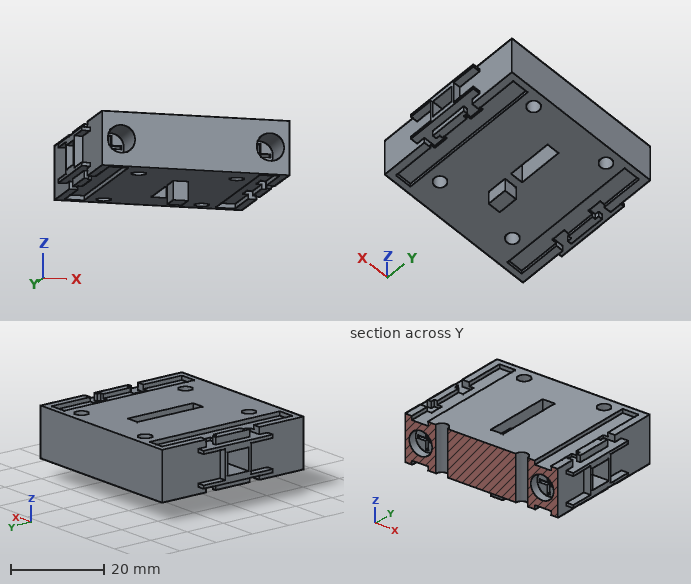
import cadquery as cq

overall_width = 45.5
body_width = 41.75
body_depth = 39.0
body_height = 11.9
overall_height = 16.1

hole_diameter = 3.2
hole_spacing_x = 21.85
hole_spacing_y = 28.65
hole_centre_x = 0.1
hole_centre_y = 1.77

strip_inner_x = 14.65
strip_width = 4.3
strip_length = 35.9
strip_depth = 1.0

notch_depth = 1.7
notch_reach = 3.15
notch_lip = 1.05
notch_outer_y = 7.33
notch_step_y = 4.75
notch_inner_y = 3.7

rail_length = 19.1
flange_thickness = 0.77
web_length = 7.05
socket_length = 5.75
socket_height = 5.32
socket_depth = 9.1

bore_x = 16.6
bore_diameter = 6.1
bore_depth = 9.1
cross_length = 5.05
cross_width = 0.75
cross_depth = 0.9

slot_width = 3.3
slot_length = 18.0
slot_start_y = -7.15
head_length = 6.85
head_top_drop = 2.45
lug_length = 5.0

top_z = body_height / 2
bottom_z = -top_z
side_x = body_width / 2
front_y = -body_depth / 2


def block(x0, x1, y0, y1, z0, z1):
    """Axis-aligned block between opposite corners."""
    return cq.Workplane("XY").box(x1 - x0, y1 - y0, z1 - z0, centered=False).translate((x0, y0, z0))


def on_both_sides(shape):
    """The shape together with its mirror image across the YZ plane."""
    return shape.union(shape.mirror("YZ"))


def mounting_holes():
    return (
        cq.Workplane("XY", origin=(hole_centre_x, hole_centre_y, bottom_z))
        .rarray(hole_spacing_x, hole_spacing_y, 2, 2)
        .circle(hole_diameter / 2)
        .extrude(body_height)
    )


def notch():
    """L-shaped notch in the top of the +X wall, on the +Y side."""
    lip_x = side_x - notch_lip
    inner_x = side_x - notch_reach
    floor_z = top_z - notch_depth
    through_wall = block(inner_x, side_x, notch_step_y, notch_outer_y, floor_z, top_z)
    behind_lip = block(inner_x, lip_x, notch_inner_y, notch_step_y, floor_z, top_z)
    return through_wall.union(behind_lip)


def face_recesses():
    """Strip recess and notches of the +X side, in the top and bottom faces."""
    strip = block(
        strip_inner_x, strip_inner_x + strip_width,
        -strip_length / 2, strip_length / 2,
        top_z - strip_depth, top_z,
    )
    recess = strip.union(notch()).union(notch().mirror("XZ"))
    return recess.union(recess.mirror("XY"))


def rail():
    """I-shaped rail standing out from the +X wall."""
    end_x = overall_width / 2
    flange_outer_z = top_z - notch_depth
    flange_inner_z = flange_outer_z - flange_thickness
    flange = block(side_x, end_x, -rail_length / 2, rail_length / 2, flange_inner_z, flange_outer_z)
    web = block(side_x, end_x, -web_length / 2, web_length / 2, -flange_outer_z, flange_outer_z)
    return web.union(flange).union(flange.mirror("XY"))


def socket():
    """Square blind socket running inward from the end of the +X rail."""
    end_x = overall_width / 2
    return block(
        end_x - socket_depth, end_x,
        -socket_length / 2, socket_length / 2,
        -socket_height / 2, socket_height / 2,
    )


def screw_bore():
    """Blind bore on the +X side, with a cross recess in its floor."""
    bore_plane = cq.Workplane("XZ", origin=(bore_x, front_y, 0))
    bore = bore_plane.circle(bore_diameter / 2).extrude(-bore_depth)
    total_depth = bore_depth + cross_depth
    bar_across = bore_plane.rect(cross_length, cross_width).extrude(-total_depth)
    bar_upright = bore_plane.rect(cross_width, cross_length).extrude(-total_depth)
    return bore.union(bar_across).union(bar_upright)


def central_slot():
    return block(
        -slot_width / 2, slot_width / 2,
        slot_start_y, slot_start_y + slot_length,
        bottom_z, top_z,
    )


def slider():
    """Head filling one end of the slot, with a shorter lug hanging below."""
    half_width = slot_width / 2
    head_top_z = top_z - head_top_drop
    lug_bottom_z = top_z - overall_height
    head = block(
        -half_width, half_width, slot_start_y, slot_start_y + head_length, bottom_z, head_top_z
    )
    lug = block(
        -half_width, half_width, slot_start_y, slot_start_y + lug_length, lug_bottom_z, bottom_z
    )
    return head.union(lug)


body = cq.Workplane("XY").box(body_width, body_depth, body_height)
result = (
    body.union(on_both_sides(rail()))
    .cut(mounting_holes())
    .cut(on_both_sides(face_recesses()))
    .cut(on_both_sides(socket()))
    .cut(on_both_sides(screw_bore()))
    .cut(central_slot())
    .union(slider())
)